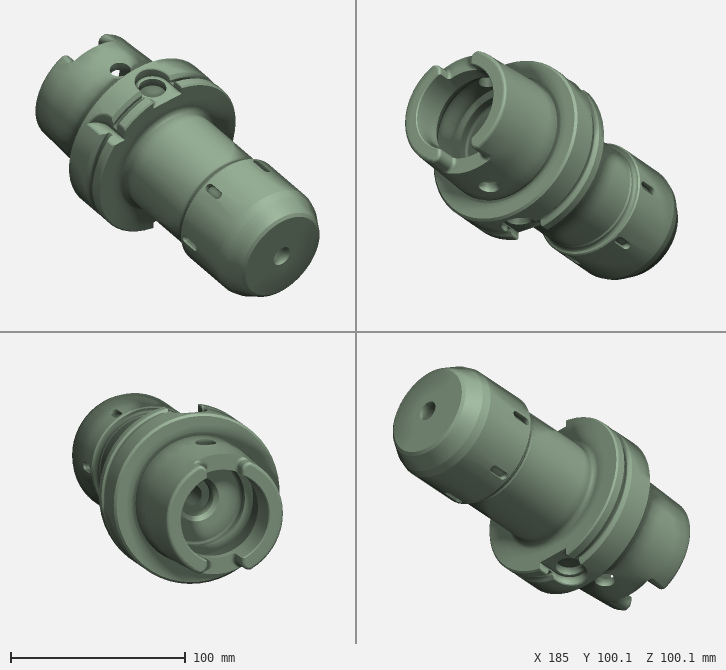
import cadquery as cq
import math


TOTAL_LENGTH = 185.0
TOLERANCE = 0.002
THROUGH_RADIUS = 6.01

TAPER_HALF_RATIO = 1 / 20
TAPER_LENGTH = 48.5
TAPER_ROOT_RADIUS = 37.7
TAPER_END_RADIUS = TAPER_ROOT_RADIUS - TAPER_HALF_RATIO * TAPER_LENGTH
RELIEF_RADIUS = 37.0
RELIEF_FACE_RADIUS = 39.2
RELIEF_DEPTH = 0.7
END_ROUND = 1.8

MOUTH_RADIUS = 27.0
MOUTH_CHAMFER = 0.5
CAVITY_RADIUS = MOUTH_RADIUS - MOUTH_CHAMFER
CLAMP_SHOULDER_START = 20.0
CLAMP_SHOULDER_ANGLE = 30
CLAMP_RECESS_RADIUS = 31.5
CLAMP_RECESS_END = 43.5
CAVITY_FLOOR = 50.0
CAVITY_FLOOR_FILLET = 1.8
COUNTERSINK_RADIUS = 13.05
COUNTERBORE_RADIUS = 10.5
COUNTERBORE_DEPTH = 10.0

SLOT_HALF_WIDTH = 10.4
SLOT_STRAIGHT_HEIGHT = 27.0
SLOT_FLARE_RADIUS = 4.6
UPPER_SLOT_DEPTH = 9.5
LOWER_SLOT_DEPTH = 14.2
SLOT_FLOOR_FILLET = 2.0

CROSS_HOLE_RADIUS = 6.01
CROSS_HOLE_X = 34.8

FLANGE_START = 50.0
FLANGE_END = 78.8
FLANGE_RADIUS = 50.05
FLANGE_FRONT_CHAMFER = 1.3
FLANGE_REAR_CHAMFER = 1.0
GROOVE_START = 68.0
GROOVE_END = 71.5
GROOVE_RADIUS = 45.9
GROOVE_LIP_LENGTH = 1.7
GROOVE_LIP_HEIGHT = 2.4

KEY_HALF_WIDTH = 10.2
KEY_END_CENTER = 64.8
KEY_FLOOR = 43.8
KEY_HOLE_RADIUS = 8.0
KEY_HOLE_DEPTH = 5.2
SLOT_EDGE_CHAMFER = 0.5
NOTCH_FLOOR = 31.0
NOTCH_WALL = 31.0

NECK_RADIUS = 31.55
NECK_FILLET = 3.3
NECK_CHAMFER = 1.0
NECK_END = 131.4

NUT_RADIUS = 35.0
NUT_COLLAR_END = 133.2
NUT_BACK = 135.2
NUT_BACK_CHAMFER = 0.7
NUT_SHOULDER = 170.0
NUT_CONE_START = 175.0
NUT_CONE_START_RADIUS = 33.5
NUT_CONE_END = 183.7
NUT_CONE_END_RADIUS = 28.3
NUT_FACE_RADIUS = 26.5

WRENCH_SLOT_COUNT = 6
WRENCH_SLOT_CENTER = 144.0
WRENCH_SLOT_LENGTH = 13.0
WRENCH_SLOT_WIDTH = 5.0
WRENCH_SLOT_DEPTH = 3.7


def turned(profile):
    """Revolve a closed (x, radius) profile about the X axis."""
    return profile.close().revolve(360, (0, 0, 0), (1, 0, 0))


def holder_blank():
    return turned(
        cq.Workplane("XY")
        .moveTo(0, 0)
        .lineTo(0, TAPER_END_RADIUS - END_ROUND)
        .radiusArc((END_ROUND, TAPER_END_RADIUS), END_ROUND)
        .lineTo(TAPER_LENGTH, TAPER_ROOT_RADIUS)
        .lineTo(TAPER_LENGTH, RELIEF_RADIUS)
        .lineTo(FLANGE_START + RELIEF_DEPTH, RELIEF_RADIUS)
        .lineTo(FLANGE_START + RELIEF_DEPTH, RELIEF_FACE_RADIUS)
        .lineTo(FLANGE_START, RELIEF_FACE_RADIUS)
        .lineTo(FLANGE_START, FLANGE_RADIUS - FLANGE_FRONT_CHAMFER)
        .lineTo(FLANGE_START + FLANGE_FRONT_CHAMFER, FLANGE_RADIUS)
        .lineTo(GROOVE_START - GROOVE_LIP_LENGTH, FLANGE_RADIUS)
        .lineTo(GROOVE_START, FLANGE_RADIUS - GROOVE_LIP_HEIGHT)
        .lineTo(GROOVE_START, GROOVE_RADIUS)
        .lineTo(GROOVE_END, GROOVE_RADIUS)
        .lineTo(GROOVE_END, FLANGE_RADIUS - GROOVE_LIP_HEIGHT)
        .lineTo(GROOVE_END + GROOVE_LIP_LENGTH, FLANGE_RADIUS)
        .lineTo(FLANGE_END - FLANGE_REAR_CHAMFER, FLANGE_RADIUS)
        .lineTo(FLANGE_END, FLANGE_RADIUS - FLANGE_REAR_CHAMFER)
        .lineTo(FLANGE_END, NECK_RADIUS + NECK_FILLET)
        .radiusArc((FLANGE_END + NECK_FILLET, NECK_RADIUS), -NECK_FILLET)
        .lineTo(NECK_END - NECK_CHAMFER, NECK_RADIUS)
        .lineTo(NECK_END, NECK_RADIUS - NECK_CHAMFER)
        .lineTo(NECK_END, 0)
    )


def shank_cavity():
    shoulder_rise = CLAMP_RECESS_RADIUS - CAVITY_RADIUS
    shoulder_length = shoulder_rise / math.tan(math.radians(CLAMP_SHOULDER_ANGLE))
    countersink_depth = COUNTERSINK_RADIUS - COUNTERBORE_RADIUS
    counterbore_floor = CAVITY_FLOOR + COUNTERBORE_DEPTH
    return turned(
        cq.Workplane("XY")
        .moveTo(0, 0)
        .lineTo(0, MOUTH_RADIUS)
        .lineTo(MOUTH_CHAMFER, CAVITY_RADIUS)
        .lineTo(CLAMP_SHOULDER_START, CAVITY_RADIUS)
        .lineTo(CLAMP_SHOULDER_START + shoulder_length, CLAMP_RECESS_RADIUS)
        .lineTo(CLAMP_RECESS_END, CLAMP_RECESS_RADIUS)
        .lineTo(CLAMP_RECESS_END, CAVITY_RADIUS)
        .lineTo(CAVITY_FLOOR - CAVITY_FLOOR_FILLET, CAVITY_RADIUS)
        .radiusArc((CAVITY_FLOOR, CAVITY_RADIUS - CAVITY_FLOOR_FILLET), CAVITY_FLOOR_FILLET)
        .lineTo(CAVITY_FLOOR, COUNTERSINK_RADIUS)
        .lineTo(CAVITY_FLOOR + countersink_depth, COUNTERBORE_RADIUS)
        .lineTo(counterbore_floor, COUNTERBORE_RADIUS)
        .lineTo(counterbore_floor, THROUGH_RADIUS)
        .lineTo(NECK_END, THROUGH_RADIUS)
        .lineTo(NECK_END, 0)
    )


def lug_end(depth):
    """Block that leaves one lug standing on the +Y side: rounded outer corner and rounded front edges."""
    top = SLOT_STRAIGHT_HEIGHT + SLOT_FLARE_RADIUS
    return (
        cq.Workplane("XY", origin=(0, SLOT_HALF_WIDTH, -FLANGE_RADIUS))
        .box(2 * depth, FLANGE_RADIUS, FLANGE_RADIUS + top, centered=False)
        .edges("|X and <Y and >Z")
        .fillet(SLOT_FLARE_RADIUS)
        .faces("<X")
        .edges("not(>Y or <Z)")
        .fillet(END_ROUND)
    )


def drive_slot(depth):
    """Cutter for the slot on the +Z side: straight near the bore, flared outwards, rounded floor edges."""
    block = cq.Workplane("XY").box(depth, FLANGE_RADIUS, FLANGE_RADIUS, centered=(False, True, False))
    lug = lug_end(depth)
    return (
        block.cut(lug)
        .cut(lug.mirror("XZ"))
        .faces(">X")
        .edges("not(<Z or >Z or <Y or >Y)")
        .fillet(SLOT_FLOOR_FILLET)
    )


def flange_slot(center_y, floor):
    """Cutter for a slot with a rounded end, open at the rear of the flange and above its floor."""
    length = FLANGE_END - KEY_END_CENTER
    height = FLANGE_RADIUS - floor
    round_end = cq.Workplane("XY", origin=(KEY_END_CENTER, center_y, floor)).circle(KEY_HALF_WIDTH).extrude(height)
    straight = cq.Workplane("XY", origin=(KEY_END_CENTER, center_y, floor)).box(
        length, 2 * KEY_HALF_WIDTH, height, centered=(False, True, False)
    )
    return round_end.union(straight)


def key_slot():
    """Cutter for the +Z key slot with the blind hole in its floor."""
    hole = (
        cq.Workplane("XY", origin=(KEY_END_CENTER, 0, KEY_FLOOR - KEY_HOLE_DEPTH))
        .circle(KEY_HOLE_RADIUS)
        .extrude(KEY_HOLE_DEPTH)
    )
    return flange_slot(0, KEY_FLOOR).union(hole)


def cross_hole():
    return (
        cq.Workplane("XY", origin=(CROSS_HOLE_X, 0, 0))
        .circle(CROSS_HOLE_RADIUS)
        .extrude(FLANGE_RADIUS, both=True)
    )


def chamfered_slot_edges(body):
    """Chamfer the edges where the key slots and the notch meet the outer surface of the flange."""

    def on_outer_surface(edge):
        ends = (edge.startPoint(), edge.endPoint())
        return all(math.isclose(math.hypot(end.y, end.z), FLANGE_RADIUS, abs_tol=TOLERANCE) for end in ends)

    return body.edges("not %CIRCLE").filter(on_outer_surface).chamfer(SLOT_EDGE_CHAMFER)


def make_holder():
    body = holder_blank().cut(shank_cavity())
    upper_slot = drive_slot(UPPER_SLOT_DEPTH)
    lower_slot = drive_slot(LOWER_SLOT_DEPTH).rotate((0, 0, 0), (1, 0, 0), 180)
    upper_key = key_slot()
    lower_key = upper_key.rotate((0, 0, 0), (1, 0, 0), 180)
    notch = flange_slot(-NOTCH_WALL - KEY_HALF_WIDTH, NOTCH_FLOOR)
    body = body.cut(upper_key).cut(lower_key).cut(notch)
    body = chamfered_slot_edges(body)
    return body.cut(upper_slot).cut(lower_slot).cut(cross_hole())


def nut_blank():
    back_fillet = NUT_BACK - NUT_COLLAR_END
    return turned(
        cq.Workplane("XY")
        .moveTo(NECK_END, THROUGH_RADIUS)
        .lineTo(NECK_END, NECK_RADIUS - NECK_CHAMFER)
        .lineTo(NECK_END + NECK_CHAMFER, NECK_RADIUS)
        .lineTo(NUT_COLLAR_END, NECK_RADIUS)
        .radiusArc((NUT_BACK, NECK_RADIUS + back_fillet), -back_fillet)
        .lineTo(NUT_BACK, NUT_RADIUS - NUT_BACK_CHAMFER)
        .lineTo(NUT_BACK + NUT_BACK_CHAMFER, NUT_RADIUS)
        .lineTo(NUT_SHOULDER, NUT_RADIUS)
        .lineTo(NUT_CONE_START, NUT_CONE_START_RADIUS)
        .lineTo(NUT_CONE_END, NUT_CONE_END_RADIUS)
        .lineTo(TOTAL_LENGTH, NUT_FACE_RADIUS)
        .lineTo(TOTAL_LENGTH, THROUGH_RADIUS)
    )


def wrench_slot():
    """Cutter for one radial slot on the -Y side of the nut."""
    return (
        cq.Workplane("XZ", origin=(WRENCH_SLOT_CENTER, -NUT_RADIUS + WRENCH_SLOT_DEPTH, 0))
        .slot2D(WRENCH_SLOT_LENGTH, WRENCH_SLOT_WIDTH)
        .extrude(2 * WRENCH_SLOT_DEPTH)
    )


def make_nut():
    nut = nut_blank()
    for index in range(WRENCH_SLOT_COUNT):
        angle = index * 360 / WRENCH_SLOT_COUNT
        nut = nut.cut(wrench_slot().rotate((0, 0, 0), (1, 0, 0), angle))
    return nut


holder = make_holder()
clamping_nut = make_nut()

result = cq.Compound.makeCompound([holder.val(), clamping_nut.val()])